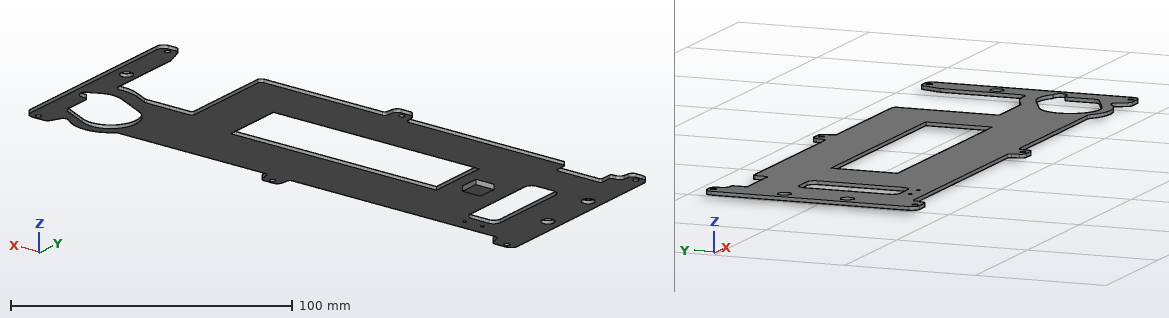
import cadquery as cq
import math

LENGTH = 215.5
WIDTH = 81.5
PLATE_THICKNESS = 1.4
HALF_LENGTH = LENGTH / 2
HALF_WIDTH = WIDTH / 2

TAB_HEIGHT = 5.8
BODY_EDGE = HALF_WIDTH - TAB_HEIGHT
MID_TAB_TIP = 3.9
MID_TAB_ROOT = 4.7
LEFT_TOP_TAB_TIP = 7.5
LEFT_TOP_TAB_ROOT = 8.5
LEFT_BOTTOM_TAB_TIP = 9.3
LEFT_BOTTOM_TAB_ROOT = 10.8
RIGHT_TOP_TAB_TIP = 7.5
RIGHT_BOTTOM_TAB_TIP = 9.5
RIGHT_BOTTOM_TAB_ROOT = 12.5
TAB_ROUND = 2.2
TAB_ROOT_ROUND = 1.3
LEFT_TOP_ROOT_ROUND = 2.5
CORNER_ROUND = 3.0

NOTCH_LEFT = -95.3
NOTCH_RIGHT = -75.2
NOTCH_DEPTH = 5.8
NOTCH_ROUND = 0.9

BAY_LEFT = 60.0
BAY_FLOOR = -5.5
BAY_PANEL_ROUND = 1.7
BAY_FLOOR_ROUND = 1.0
LEG_WIDTH = 10.3
LEG_INSIDE = HALF_LENGTH - LEG_WIDTH
LEG_SHOULDER = 32.0
LEG_SHOULDER_ROUND = 1.3
LEG_ROUND = 1.7

OVAL_LOWER_CENTER = (82.5, -24.0)
OVAL_UPPER_CENTER = (94.2, -18.0)
OVAL_RUN = OVAL_UPPER_CENTER[0] - OVAL_LOWER_CENTER[0]
OVAL_RISE = OVAL_UPPER_CENTER[1] - OVAL_LOWER_CENTER[1]
OVAL_RADIUS = 11.2
OVAL_FLAT = 99.3
OVAL_ROUND = 2.5
MOUTH_ROUND = 1.5
BOSS_RADIUS = 15.3
BOSS_ROUND = 1.7
RIM_RADIUS = 17.0
RIM_START = 80.8
RIM_START_ROUND = 2.2

SCREW_DIAMETER = 2.2
SCREW_END_INSET = 4.0
SCREW_EDGE_INSET = 2.2
MOUNT_DIAMETER = 5.0
MOUNT_END_INSET = 5.5
MOUNT_X = HALF_LENGTH - MOUNT_END_INSET
MOUNT_OFFSET = 12.0
PILOT_DIAMETER = 1.3
PILOT_Y = -29.7
PILOT_XS = (-86.2, -78.5)

SLOT_LEFT = -89.2
SLOT_RIGHT = -75.9
SLOT_BOTTOM = -25.9
SLOT_TOP = 12.7
SLOT_ROUND = 3.0
WINDOW_LEFT = -52.4
WINDOW_RIGHT = 38.5
WINDOW_BOTTOM = -11.5
WINDOW_TOP = 14.0

BLOCK_SIDE = 8.0
BLOCK_HEIGHT = 2.05
BLOCK_CENTER = (-61.5, 1.3)


def rounded_prism(corners, thickness):
    """Prism from Z = 0 upward through (x, y, radius) corners, each rounded where radius > 0."""
    points = [cq.Vector(x, y) for x, y, _ in corners]
    arcs = []
    for i, (_, _, radius) in enumerate(corners):
        corner = points[i]
        backward = (points[i - 1] - corner).normalized()
        forward = (points[(i + 1) % len(points)] - corner).normalized()
        half_angle = backward.getAngle(forward) / 2
        setback = radius / math.tan(half_angle)
        arc_depth = radius / math.sin(half_angle) - radius
        start = corner + backward * setback
        middle = corner + (backward + forward).normalized() * arc_depth
        end = corner + forward * setback
        arcs.append((start, middle, end, radius))

    first_end = arcs[0][2]
    outline = cq.Workplane("XY").moveTo(first_end.x, first_end.y)
    for start, middle, end, radius in arcs[1:] + arcs[:1]:
        outline = outline.lineTo(start.x, start.y)
        if radius > 0:
            outline = outline.threePointArc((middle.x, middle.y), (end.x, end.y))
    return outline.close().extrude(thickness)


def make_plate_blank():
    """Plate outline without the boss, clockwise from the top left corner."""
    rim_top = OVAL_UPPER_CENTER[1] + RIM_RADIUS
    rim_corner = RIM_START + (rim_top - BAY_FLOOR) * OVAL_RUN / OVAL_RISE

    corners = [
        (-HALF_LENGTH, HALF_WIDTH, CORNER_ROUND),
        (-HALF_LENGTH + LEFT_TOP_TAB_TIP, HALF_WIDTH, TAB_ROUND),
        (-HALF_LENGTH + LEFT_TOP_TAB_ROOT, BODY_EDGE, LEFT_TOP_ROOT_ROUND),
        (NOTCH_LEFT, BODY_EDGE, NOTCH_ROUND),
        (NOTCH_LEFT, BODY_EDGE - NOTCH_DEPTH, NOTCH_ROUND),
        (NOTCH_RIGHT, BODY_EDGE - NOTCH_DEPTH, NOTCH_ROUND),
        (NOTCH_RIGHT, BODY_EDGE, NOTCH_ROUND),
        (-MID_TAB_ROOT, BODY_EDGE, TAB_ROOT_ROUND),
        (-MID_TAB_TIP, HALF_WIDTH, TAB_ROUND),
        (MID_TAB_TIP, HALF_WIDTH, TAB_ROUND),
        (MID_TAB_ROOT, BODY_EDGE, TAB_ROOT_ROUND),
        (BAY_LEFT, BODY_EDGE, BAY_PANEL_ROUND),
        (BAY_LEFT, BAY_FLOOR, BAY_FLOOR_ROUND),
        (RIM_START, BAY_FLOOR, RIM_START_ROUND),
        (rim_corner, rim_top, RIM_RADIUS),
        (LEG_INSIDE, rim_top, LEG_ROUND),
        (LEG_INSIDE, LEG_SHOULDER, LEG_SHOULDER_ROUND),
        (HALF_LENGTH - RIGHT_TOP_TAB_TIP, HALF_WIDTH, TAB_ROUND),
        (HALF_LENGTH, HALF_WIDTH, CORNER_ROUND),
        (HALF_LENGTH, -HALF_WIDTH, CORNER_ROUND),
        (HALF_LENGTH - RIGHT_BOTTOM_TAB_TIP, -HALF_WIDTH, TAB_ROUND),
        (HALF_LENGTH - RIGHT_BOTTOM_TAB_ROOT, -BODY_EDGE, TAB_ROOT_ROUND),
        (MID_TAB_ROOT, -BODY_EDGE, TAB_ROOT_ROUND),
        (MID_TAB_TIP, -HALF_WIDTH, TAB_ROUND),
        (-MID_TAB_TIP, -HALF_WIDTH, TAB_ROUND),
        (-MID_TAB_ROOT, -BODY_EDGE, TAB_ROOT_ROUND),
        (-HALF_LENGTH + LEFT_BOTTOM_TAB_ROOT, -BODY_EDGE, TAB_ROOT_ROUND),
        (-HALF_LENGTH + LEFT_BOTTOM_TAB_TIP, -HALF_WIDTH, TAB_ROUND),
        (-HALF_LENGTH, -HALF_WIDTH, CORNER_ROUND),
    ]
    return rounded_prism(corners, PLATE_THICKNESS)


def cylinder(center, diameter):
    """Cylinder through the plate thickness."""
    return cq.Workplane("XY").center(*center).circle(diameter / 2).extrude(PLATE_THICKNESS)


def round_upright_edges(body, points, radius):
    """Fillet the upright edge nearest to each (x, y) point."""
    for x, y in points:
        nearest = cq.selectors.NearestToPointSelector((x, y, PLATE_THICKNESS / 2))
        body = body.edges("|Z").edges(nearest).fillet(radius)
    return body


def add_boss(plate):
    """Round bulge below the oval, blended into the long edge on both sides."""
    center_x, center_y = OVAL_LOWER_CENTER
    half_chord = math.sqrt(BOSS_RADIUS**2 - (BODY_EDGE + center_y) ** 2)
    plate = plate.union(cylinder(OVAL_LOWER_CENTER, 2 * BOSS_RADIUS))
    junctions = [(center_x - half_chord, -BODY_EDGE), (center_x + half_chord, -BODY_EDGE)]
    return round_upright_edges(plate, junctions, BOSS_ROUND)


def make_oval_cutter():
    """Slanted oval, flat on its right, opening into the lower right mounting hole."""
    span = math.hypot(OVAL_RUN, OVAL_RISE)
    tilt = math.degrees(math.atan2(OVAL_RISE, OVAL_RUN))
    oval = (
        cq.Workplane("XY")
        .center(OVAL_LOWER_CENTER[0] + OVAL_RUN / 2, OVAL_LOWER_CENTER[1] + OVAL_RISE / 2)
        .slot2D(span + 2 * OVAL_RADIUS, 2 * OVAL_RADIUS, tilt)
        .extrude(PLATE_THICKNESS)
    )
    mount_center = (MOUNT_X, -MOUNT_OFFSET)
    mouth_depth = MOUNT_DIAMETER / 2
    right_of_flat = rectangular_cutter(OVAL_FLAT, HALF_LENGTH, -HALF_WIDTH, -MOUNT_OFFSET, 0)
    mouth_bottom = -MOUNT_OFFSET - mouth_depth
    mouth = rectangular_cutter(OVAL_UPPER_CENTER[0], mount_center[0], mouth_bottom, -MOUNT_OFFSET, 0)
    oval = oval.cut(right_of_flat)
    oval = round_upright_edges(oval, [(OVAL_FLAT, OVAL_LOWER_CENTER[1])], OVAL_ROUND)
    oval = oval.union(mouth).union(cylinder(mount_center, MOUNT_DIAMETER))
    return round_upright_edges(oval, [(OVAL_FLAT, mouth_bottom)], MOUTH_ROUND)


def cut_holes(plate):
    """Screw holes in the tabs, mounting holes near the ends and pilot holes below the slot."""
    screw_x = HALF_LENGTH - SCREW_END_INSET
    screw_y = HALF_WIDTH - SCREW_EDGE_INSET
    for x in (-screw_x, 0, screw_x):
        for y in (-screw_y, screw_y):
            plate = plate.cut(cylinder((x, y), SCREW_DIAMETER))

    for center in ((-MOUNT_X, MOUNT_OFFSET), (-MOUNT_X, -MOUNT_OFFSET), (MOUNT_X, MOUNT_OFFSET)):
        plate = plate.cut(cylinder(center, MOUNT_DIAMETER))

    for x in PILOT_XS:
        plate = plate.cut(cylinder((x, PILOT_Y), PILOT_DIAMETER))
    return plate


def rectangular_cutter(left, right, bottom, top, radius):
    """Rectangular prism with its four upright edges rounded by the radius."""
    corners = [(left, bottom, radius), (right, bottom, radius), (right, top, radius), (left, top, radius)]
    return rounded_prism(corners, PLATE_THICKNESS)


def make_plate():
    plate = add_boss(make_plate_blank())
    plate = plate.cut(make_oval_cutter())
    plate = plate.cut(rectangular_cutter(SLOT_LEFT, SLOT_RIGHT, SLOT_BOTTOM, SLOT_TOP, SLOT_ROUND))
    plate = plate.cut(rectangular_cutter(WINDOW_LEFT, WINDOW_RIGHT, WINDOW_BOTTOM, WINDOW_TOP, 0))
    return cut_holes(plate)


def make_block():
    """Square block hanging from the underside of the plate."""
    return cq.Workplane("XY").center(*BLOCK_CENTER).rect(BLOCK_SIDE, BLOCK_SIDE).extrude(-BLOCK_HEIGHT)


plate = make_plate()
block = make_block()
result = cq.Compound.makeCompound([plate.val(), block.val()])